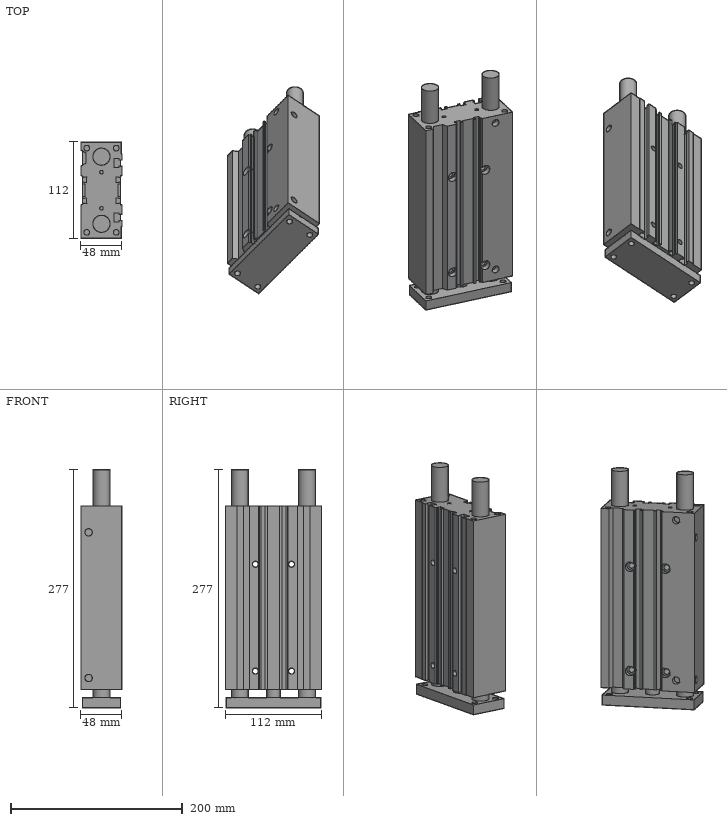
import cadquery as cq


total_height = 277.0
housing_depth = 48.0
housing_width = 112.0
housing_base = 21.0
housing_top = 235.0
housing_height = housing_top - housing_base
side_x = housing_depth / 2
end_y = housing_width / 2

plate_depth = 44.5
plate_width = 110.2
plate_thickness = 12.0
plate_hole_diameter = 6.6
plate_hole_x = 15.2
plate_hole_y = 48.0
guide_diameter = 20.0
guide_y = 39.0
piston_rod_diameter = 16.0

channel_half_width = 16.3
channel_depth = 1.8
channel_flare = 0.8
channel_floor_x = side_x - channel_depth

sensor_slot_y = 12.2
sensor_neck_width = 5.0
sensor_neck_depth = 1.7
sensor_slot_width = 6.6
sensor_slot_depth = 5.0
groove_width = 14.0
groove_depth = 3.0

edge_step_y = 42.5
edge_step_depth = 0.8
tee_slot_y = 31.5
tee_neck_width = 7.0
tee_neck_depth = 3.5
tee_slot_width = 10.5
tee_slot_depth = 9.5

trapezoid_y = 37.5
trapezoid_mouth = 18.3
trapezoid_floor = 11.5
trapezoid_depth = 6.0

corner_hole_diameter = 6.6
corner_hole_x = 17.2
corner_hole_y = 49.0
corner_hole_depth = 13.8
pilot_hole_diameter = 4.2
pilot_hole_depth = 8.3

mount_y = 21.0
mount_heights = (42.7, 167.0)
mount_hole_diameter = 6.6
mount_bore_diameter = 11.0
mount_bore_depth = 7.5

port_diameter = 8.5
side_port_y = -34.0
side_port_heights = (34.3, 225.5)
side_port_depth = 8.3
end_port_x = -15.0
end_port_heights = (34.5, 204.1)
end_port_depth = 11.0


def full_length_bar(x_from, x_to, y_center, width):
    """Rectangular bar as tall as the housing, used to cut a straight slot."""
    bar = cq.Workplane("XY").box(abs(x_to - x_from), width, housing_height, centered=(True, True, False))
    return bar.translate(((x_from + x_to) / 2, y_center, housing_base))


def full_length_prism(points):
    """Prism as tall as the housing on a closed outline in X and Y."""
    return cq.Workplane("XY", origin=(0, 0, housing_base)).polyline(points).close().extrude(housing_height)


def undercut_slot(x_face, side, y, neck_width, neck_depth, slot_width, slot_depth):
    """Slot with a narrow neck and a wider chamber, opening through x_face towards side (+1 or -1)."""
    x_lip = x_face - side * neck_depth
    x_floor = x_face - side * slot_depth
    neck = full_length_bar(x_face, x_lip, y, neck_width)
    chamber = full_length_bar(x_lip, x_floor, y, slot_width)
    return neck.union(chamber)


def hole_along_x(y, z, diameter, depth):
    """Cylinder that enters the -X side."""
    return cq.Workplane("YZ", origin=(-side_x, y, z)).circle(diameter / 2).extrude(depth)


def cut_channel(body, side):
    """Flared channel with its two sensor slots and the flat groove between them."""
    mouth = channel_half_width + channel_flare
    body = body.cut(full_length_prism([
        (side * side_x, -mouth),
        (side * channel_floor_x, -channel_half_width),
        (side * channel_floor_x, channel_half_width),
        (side * side_x, mouth),
    ]))
    for y in (-sensor_slot_y, sensor_slot_y):
        body = body.cut(undercut_slot(
            side * channel_floor_x, side, y,
            sensor_neck_width, sensor_neck_depth, sensor_slot_width, sensor_slot_depth,
        ))
    groove_floor_x = channel_floor_x - groove_depth
    return body.cut(full_length_bar(side * channel_floor_x, side * groove_floor_x, 0, groove_width))


def cut_tee_slots_and_edge_steps(body):
    """T-slots and lowered outer edges of the +X side."""
    step_width = end_y - edge_step_y
    for y_side in (-1, 1):
        body = body.cut(undercut_slot(
            side_x, 1, y_side * tee_slot_y,
            tee_neck_width, tee_neck_depth, tee_slot_width, tee_slot_depth,
        ))
        step_y = y_side * (edge_step_y + step_width / 2)
        body = body.cut(full_length_bar(side_x, side_x - edge_step_depth, step_y, step_width))
    return body


def cut_trapezoid_groove(body):
    """Groove with sloping walls on the -X side."""
    floor_x = -side_x + trapezoid_depth
    return body.cut(full_length_prism([
        (-side_x, trapezoid_y + trapezoid_mouth / 2),
        (floor_x, trapezoid_y + trapezoid_floor / 2),
        (floor_x, trapezoid_y - trapezoid_floor / 2),
        (-side_x, trapezoid_y - trapezoid_mouth / 2),
    ]))


def cut_top_holes(body):
    """Guide rod bores, blind corner holes and blind pilot holes, all along Z."""
    top = cq.Workplane("XY", origin=(0, 0, housing_top))
    guides = top.pushPoints([(0, -guide_y), (0, guide_y)]).circle(guide_diameter / 2).extrude(-housing_height)
    corners = (
        top.rect(2 * corner_hole_x, 2 * corner_hole_y, forConstruction=True).vertices()
        .circle(corner_hole_diameter / 2).extrude(-corner_hole_depth)
    )
    pilots = (
        top.pushPoints([(0, -mount_y), (0, mount_y)])
        .circle(pilot_hole_diameter / 2).extrude(-pilot_hole_depth)
    )
    return body.cut(guides).cut(corners).cut(pilots)


def cut_mounting_holes(body):
    """Through holes along X, counterbored from the -X side."""
    for z in mount_heights:
        for y in (-mount_y, mount_y):
            body = body.cut(hole_along_x(y, z, mount_hole_diameter, housing_depth))
            body = body.cut(hole_along_x(y, z, mount_bore_diameter, mount_bore_depth))
    return body


def cut_ports(body):
    """Blind air ports in the -X side and the -Y end."""
    for z in side_port_heights:
        body = body.cut(hole_along_x(side_port_y, z, port_diameter, side_port_depth))
    for z in end_port_heights:
        port = cq.Workplane("XZ", origin=(end_port_x, -end_y, z)).circle(port_diameter / 2)
        body = body.cut(port.extrude(-end_port_depth))
    return body


def make_housing():
    """Profiled cylinder housing with all its slots and holes."""
    body = full_length_bar(-side_x, side_x, 0, housing_width)
    for side in (-1, 1):
        body = cut_channel(body, side)
    body = cut_tee_slots_and_edge_steps(body)
    body = cut_trapezoid_groove(body)
    body = cut_top_holes(body)
    body = cut_mounting_holes(body)
    return cut_ports(body)


def make_slide():
    """End plate joined to the guide rods, and to the piston rod that ends at the housing's lower face."""
    plate = cq.Workplane("XY").box(plate_depth, plate_width, plate_thickness, centered=(True, True, False))
    holes = (
        cq.Workplane("XY").rect(2 * plate_hole_x, 2 * plate_hole_y, forConstruction=True).vertices()
        .circle(plate_hole_diameter / 2).extrude(plate_thickness)
    )
    plate_top = cq.Workplane("XY", origin=(0, 0, plate_thickness))
    guides = (
        plate_top.pushPoints([(0, -guide_y), (0, guide_y)])
        .circle(guide_diameter / 2).extrude(total_height - plate_thickness)
    )
    piston_rod = plate_top.circle(piston_rod_diameter / 2).extrude(housing_base - plate_thickness)
    return plate.cut(holes).union(guides).union(piston_rod)


housing = make_housing()
slide = make_slide()

result = cq.Compound.makeCompound([housing.solids().val(), slide.solids().val()])